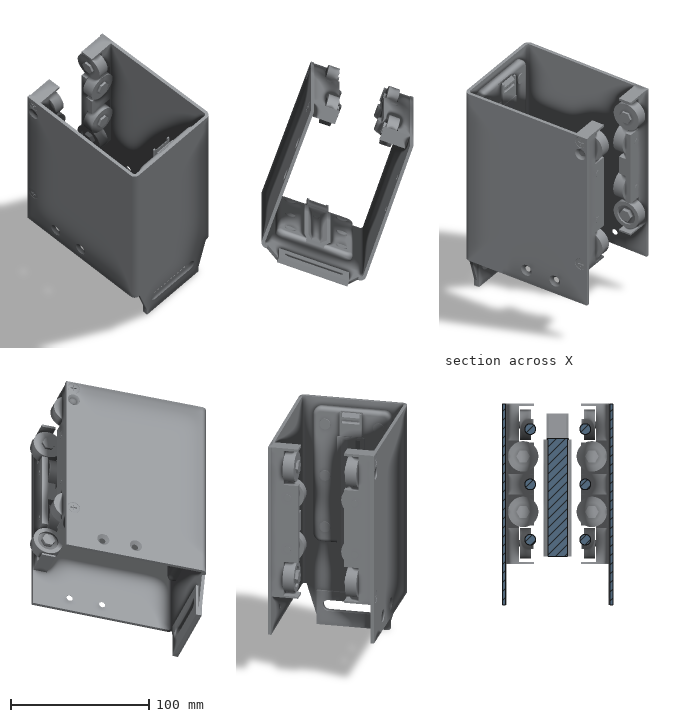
import cadquery as cq


HEIGHT = 176.0
DEPTH = 107.4
BACK_HALF_WIDTH = 80.0 / 2
OPEN_HALF_WIDTH = 39.34
SHEET = 2.5
INNER_BEND = 1.8
WALL_BOTTOM = 30.5
BACK_INNER_X = DEPTH - SHEET
TONGUE_ROOT_HALF_WIDTH = 34.8
TONGUE_HALF_WIDTH = 27.1
TONGUE_TAPER_END = 5.6
SLOT_PAD_THICKNESS = 1.8
SLOT_PAD_HALF_WIDTH = 27.0
SLOT_PAD_TOP = 26.2
SLOT_LENGTH = 44.9
SLOT_WIDTH = 8.5
SLOT_Z = 15.1

HEAD_RADIUS = 4.5
HOLE_RADIUS = 2.3
HEAD_RECESS = 0.2
CROSS_LENGTH = 4.8
CROSS_WIDTH = 0.7
CROSS_DEPTH = 0.9
LOWER_HOLES_X = (28.2, 53.0)
LOWER_HOLES_Z = 41.2

MID_Z = 117.7
WHEEL_RADIUS = 22.0 / 2
WHEEL_WIDTH = 8.3
WHEEL_OVERHANG = 5.3
WHEEL_X = WHEEL_RADIUS - WHEEL_OVERHANG
END_WHEEL_OFFSET = 42.8
SIDE_WHEEL_OFFSET = 20.0
SCREW_OFFSET = 53.2
BLOCK_FRONT = 0.5
BLOCK_BACK = 10.7
BLOCK_INNER_Y = 17.0
BLOCK_OUTER_Y = 37.3
BLOCK_BOTTOM = 60.0
END_POCKET_Y = 27.8
END_POCKET_INNER_OFFSET = 30.0
END_POCKET_OUTER_OFFSET = 56.3
WEB_BACK = 5.1
SIDE_POCKET_Y = 36.3
SIDE_POCKET_INNER_OFFSET = 7.4
SIDE_POCKET_OUTER_OFFSET = 31.7
END_WHEEL_FACE_Y = 19.0
SIDE_WHEEL_FACE_X = 13.5
SIDE_WHEEL_Y = 24.8
AXLE_RADIUS = 2.5
AXLE_PROUD = 0.2
NUT_HEIGHT = 1.8
NUT_CORNER_DIAMETER = 9.9
HUB_RECESS_RADIUS = 7.7
HUB_RECESS_DEPTH = 1.5

PAD_THICKNESS = 5.6
PAD_HALF_WIDTH = 29.0
PAD_HALF_HEIGHT = 52.3
PAD_CORNER = 6.0
PAD_EDGE = 3.0
PAD_FRONT = BACK_INNER_X - PAD_THICKNESS
FILLET_BACK = PAD_FRONT + PAD_EDGE
PAD_SCREW_RADIUS = 4.0
PAD_SCREW_HEIGHT = 0.7
PAD_SCREW_Y = 19.9
PAD_SCREW_PITCH = 40.0
RAIL_FRONT = 95.5
RAIL_LIP_BACK = 96.3
RAIL_HALF_WIDTH = 10.0
RAIL_FOOT_HALF_WIDTH = 6.9
RAIL_BOTTOM = MID_Z - PAD_HALF_HEIGHT
RAIL_TOP = 150.1
GROOVE_HALF_WIDTH = 7.0
GROOVE_FLOOR_HALF_WIDTH = 3.0
GROOVE_TOP = 148.2
GROOVE_FLOOR_X = PAD_FRONT - 0.4
RAIL_PIN_RADIUS = 2.5
RAIL_PIN_HEIGHT = 0.5
RAIL_PIN_Z = 137.8
LATCH_FRONT = 95.0
LATCH_LIP_BACK = 96.3
LATCH_HALF_WIDTH = 8.1
LATCH_BACK = 97.3
LATCH_FOOT_TOP = 151.2
LATCH_TOP = 168.8
WINDOW_HALF_WIDTH = 6.5
RAMP_BOTTOM = 165.8
RAMP_BACK = LATCH_BACK - 0.2
NOTCH_BOTTOM = 161.0
NOTCH_LEDGE = 162.3
NOTCH_TOP = 164.0
NOTCH_DEPTH = 1.2


def box(x0, x1, y0, y1, z0, z1):
    """Box between opposite corners."""
    return cq.Workplane("XY").box(x1 - x0, y1 - y0, z1 - z0, centered=False).translate((x0, y0, z0))


def x_cylinder(radius, x0, x1, y, z):
    """Cylinder along X."""
    return cq.Workplane("YZ", origin=(x0, y, z)).circle(radius).extrude(x1 - x0)


def y_cylinder(radius, y0, y1, x, z):
    """Cylinder along Y."""
    return cq.Workplane("XZ", origin=(x, y1, z)).circle(radius).extrude(y1 - y0)


def both_sides(shape):
    """Shape together with its mirror image across Y = 0."""
    return shape.union(shape.mirror("XZ"))


def wall_y(x):
    """Outer Y of the slightly inclined +Y side wall at a given X."""
    return OPEN_HALF_WIDTH + (BACK_HALF_WIDTH - OPEN_HALF_WIDTH) * x / DEPTH


def sheet_housing():
    """Bent U-shaped sheet whose side walls lean slightly inward toward the open edge."""
    def profile(inset, bend):
        back_x = DEPTH - inset
        points = [
            (0, OPEN_HALF_WIDTH - inset),
            (back_x, BACK_HALF_WIDTH - inset),
            (back_x, inset - BACK_HALF_WIDTH),
            (0, inset - OPEN_HALF_WIDTH),
        ]
        solid = cq.Workplane("XY", origin=(0, 0, WALL_BOTTOM)).polyline(points).close()
        return solid.extrude(HEIGHT - WALL_BOTTOM).edges("|Z and >X").fillet(bend)

    return profile(0, INNER_BEND + SHEET).cut(profile(SHEET, INNER_BEND))


def tongue():
    """Tapered tongue with a thin slotted pad on its inner face."""
    outline = [
        (-TONGUE_ROOT_HALF_WIDTH, WALL_BOTTOM),
        (-TONGUE_HALF_WIDTH, TONGUE_TAPER_END),
        (-TONGUE_HALF_WIDTH, 0),
        (TONGUE_HALF_WIDTH, 0),
        (TONGUE_HALF_WIDTH, TONGUE_TAPER_END),
        (TONGUE_ROOT_HALF_WIDTH, WALL_BOTTOM),
    ]
    plate = cq.Workplane("YZ", origin=(BACK_INNER_X, 0, 0)).polyline(outline).close().extrude(SHEET)
    pad_front = BACK_INNER_X - SLOT_PAD_THICKNESS
    pad = box(pad_front, BACK_INNER_X, -SLOT_PAD_HALF_WIDTH, SLOT_PAD_HALF_WIDTH, 0, SLOT_PAD_TOP)
    slot = cq.Workplane("YZ", origin=(pad_front, 0, SLOT_Z)).slot2D(SLOT_LENGTH, SLOT_WIDTH)
    return plate.union(pad).cut(slot.extrude(DEPTH - pad_front))


def countersink(x, z, recess=0.0):
    """Cone narrowing inward from the wall surface, starting at a given recess."""
    depth = HEAD_RADIUS - HOLE_RADIUS
    start = cq.Vector(x, wall_y(x) - recess, z)
    return cq.Workplane(cq.Solid.makeCone(HEAD_RADIUS, HOLE_RADIUS, depth, start, cq.Vector(0, -1, 0)))


def countersunk_hole(x, z):
    """Countersunk hole through the side wall, with the countersink open outward."""
    mouth = y_cylinder(HEAD_RADIUS, wall_y(x), wall_y(x) + SHEET, x, z)
    bore = y_cylinder(HOLE_RADIUS, wall_y(x) - 2 * SHEET, wall_y(x), x, z)
    return countersink(x, z).union(mouth).union(bore)


def cross_head_screw(x, z):
    """Countersunk screw head with a cross recess, seated just below the wall surface."""
    top = wall_y(x) - HEAD_RECESS
    head = countersink(x, z, HEAD_RECESS)
    shank = y_cylinder(HOLE_RADIUS, top - 2 * SHEET, top, x, z)
    long_half = CROSS_LENGTH / 2
    short_half = CROSS_WIDTH / 2
    bottom = top - CROSS_DEPTH
    cross = box(x - long_half, x + long_half, bottom, top, z - short_half, z + short_half)
    cross = cross.union(box(x - short_half, x + short_half, bottom, top, z - long_half, z + long_half))
    return head.union(shank).cut(cross)


def roller_block():
    """Block with open end pockets and side pockets behind a front web."""
    block = box(BLOCK_FRONT, BLOCK_BACK, BLOCK_INNER_Y, BLOCK_OUTER_Y, BLOCK_BOTTOM, HEIGHT)
    end_pocket = box(BLOCK_FRONT, BLOCK_BACK, BLOCK_INNER_Y, END_POCKET_Y,
                     MID_Z + END_POCKET_INNER_OFFSET, MID_Z + END_POCKET_OUTER_OFFSET)
    side_pocket = box(WEB_BACK, BLOCK_BACK, BLOCK_INNER_Y, SIDE_POCKET_Y,
                      MID_Z + SIDE_POCKET_INNER_OFFSET, MID_Z + SIDE_POCKET_OUTER_OFFSET)
    for pocket in (end_pocket, side_pocket):
        block = block.cut(pocket).cut(pocket.mirror("XY", (0, 0, MID_Z)))
    return block


def end_wheel(z, hub_recess):
    """Wheel on a Y axle; its hexagon nut stands on the inner face or in a hub recess."""
    nut_face = END_WHEEL_FACE_Y - NUT_HEIGHT
    seat = END_WHEEL_FACE_Y + hub_recess
    wheel = y_cylinder(WHEEL_RADIUS, END_WHEEL_FACE_Y, END_WHEEL_FACE_Y + WHEEL_WIDTH, WHEEL_X, z)
    if hub_recess:
        wheel = wheel.cut(y_cylinder(HUB_RECESS_RADIUS, END_WHEEL_FACE_Y, seat, WHEEL_X, z))
    nut = cq.Workplane("XZ", origin=(WHEEL_X, seat, z)).polygon(6, NUT_CORNER_DIAMETER)
    axle = y_cylinder(AXLE_RADIUS, seat, BLOCK_OUTER_Y, WHEEL_X, z)
    return wheel.union(axle).union(nut.extrude(seat - nut_face))


def side_wheel(z):
    """Wheel on an X axle whose end shows on the block's front face."""
    wheel = x_cylinder(WHEEL_RADIUS, SIDE_WHEEL_FACE_X - WHEEL_WIDTH, SIDE_WHEEL_FACE_X, SIDE_WHEEL_Y, z)
    axle = x_cylinder(AXLE_RADIUS, BLOCK_FRONT - AXLE_PROUD, SIDE_WHEEL_FACE_X, SIDE_WHEEL_Y, z)
    nut = cq.Workplane("YZ", origin=(SIDE_WHEEL_FACE_X, SIDE_WHEEL_Y, z)).polygon(6, NUT_CORNER_DIAMETER)
    return wheel.union(axle).union(nut.extrude(NUT_HEIGHT))


def roller_carriage():
    """Roller block with two end wheels and two side wheels."""
    carriage = roller_block()
    carriage = carriage.union(end_wheel(MID_Z + END_WHEEL_OFFSET, 0))
    carriage = carriage.union(end_wheel(MID_Z - END_WHEEL_OFFSET, HUB_RECESS_DEPTH))
    for offset in (-SIDE_WHEEL_OFFSET, SIDE_WHEEL_OFFSET):
        carriage = carriage.union(side_wheel(MID_Z + offset))
    return carriage


def backing_pad():
    """Rounded pad with three screw heads along each long edge."""
    pad = box(PAD_FRONT, BACK_INNER_X, -PAD_HALF_WIDTH, PAD_HALF_WIDTH,
              MID_Z - PAD_HALF_HEIGHT, MID_Z + PAD_HALF_HEIGHT)
    pad = pad.edges("|X").fillet(PAD_CORNER).faces("<X").edges().fillet(PAD_EDGE)
    for row in (-1, 0, 1):
        head = x_cylinder(PAD_SCREW_RADIUS, PAD_FRONT - PAD_SCREW_HEIGHT, PAD_FRONT,
                          PAD_SCREW_Y, MID_Z + row * PAD_SCREW_PITCH)
        pad = pad.union(both_sides(head))
    return pad


def rail():
    """Rail with undercut sides and a tapered groove that is open at the bottom."""
    half_profile = [
        (RAIL_FRONT, RAIL_HALF_WIDTH),
        (RAIL_LIP_BACK, RAIL_HALF_WIDTH),
        (PAD_FRONT, RAIL_FOOT_HALF_WIDTH),
        (FILLET_BACK, RAIL_FOOT_HALF_WIDTH),
    ]
    mirrored = [(x, -y) for x, y in reversed(half_profile)]
    plane = cq.Workplane("XY", origin=(0, 0, RAIL_BOTTOM))
    body = plane.polyline(half_profile + mirrored).close().extrude(RAIL_TOP - RAIL_BOTTOM)
    groove_profile = [
        (RAIL_FRONT, GROOVE_HALF_WIDTH),
        (GROOVE_FLOOR_X, GROOVE_FLOOR_HALF_WIDTH),
        (GROOVE_FLOOR_X, -GROOVE_FLOOR_HALF_WIDTH),
        (RAIL_FRONT, -GROOVE_HALF_WIDTH),
    ]
    groove = plane.polyline(groove_profile).close().extrude(GROOVE_TOP - RAIL_BOTTOM)
    pin = x_cylinder(RAIL_PIN_RADIUS, GROOVE_FLOOR_X - RAIL_PIN_HEIGHT, PAD_FRONT, 0, RAIL_PIN_Z)
    return body.cut(groove).union(pin)


def latch():
    """Latch tab on a foot above the rail, and a flat on the pad's rounded edge behind it.

    The tab has a ramp at the top and a ledged notch below it.
    """
    def across(half_width, points):
        plane = cq.Workplane("XZ", origin=(0, half_width, 0))
        return plane.polyline(points).close().extrude(2 * half_width)

    lip = box(LATCH_FRONT, LATCH_LIP_BACK, -LATCH_HALF_WIDTH, LATCH_HALF_WIDTH, LATCH_FOOT_TOP, LATCH_TOP)
    body = box(LATCH_LIP_BACK, LATCH_BACK, -WINDOW_HALF_WIDTH, WINDOW_HALF_WIDTH, RAIL_TOP, LATCH_TOP)
    foot = box(LATCH_LIP_BACK, PAD_FRONT, -LATCH_HALF_WIDTH, LATCH_HALF_WIDTH, RAIL_TOP, LATCH_FOOT_TOP)
    flat = box(PAD_FRONT, FILLET_BACK, -LATCH_HALF_WIDTH, LATCH_HALF_WIDTH, LATCH_FOOT_TOP, LATCH_TOP)
    ramp = across(WINDOW_HALF_WIDTH, [
        (LATCH_FRONT, RAMP_BOTTOM),
        (RAMP_BACK, LATCH_TOP),
        (LATCH_FRONT, LATCH_TOP),
    ])
    notch = across(WINDOW_HALF_WIDTH, [
        (LATCH_FRONT, NOTCH_BOTTOM),
        (LATCH_FRONT + NOTCH_DEPTH, NOTCH_LEDGE),
        (LATCH_FRONT + NOTCH_DEPTH, NOTCH_TOP),
        (LATCH_FRONT, NOTCH_TOP),
    ])
    return lip.union(body).union(foot).cut(ramp).cut(notch).union(flat)


screw_heights = (MID_Z - SCREW_OFFSET, MID_Z + SCREW_OFFSET)
hole_places = [(x, LOWER_HOLES_Z) for x in LOWER_HOLES_X]
hole_places.append((WHEEL_X, MID_Z + END_WHEEL_OFFSET))
hole_places += [(WHEEL_X, z) for z in screw_heights]

result = sheet_housing().union(tongue())
for x, z in hole_places:
    result = result.cut(both_sides(countersunk_hole(x, z)))
result = result.union(both_sides(roller_carriage()))
for z in screw_heights:
    result = result.union(both_sides(cross_head_screw(WHEEL_X, z)))
for feature in (backing_pad(), rail(), latch()):
    result = result.union(feature)